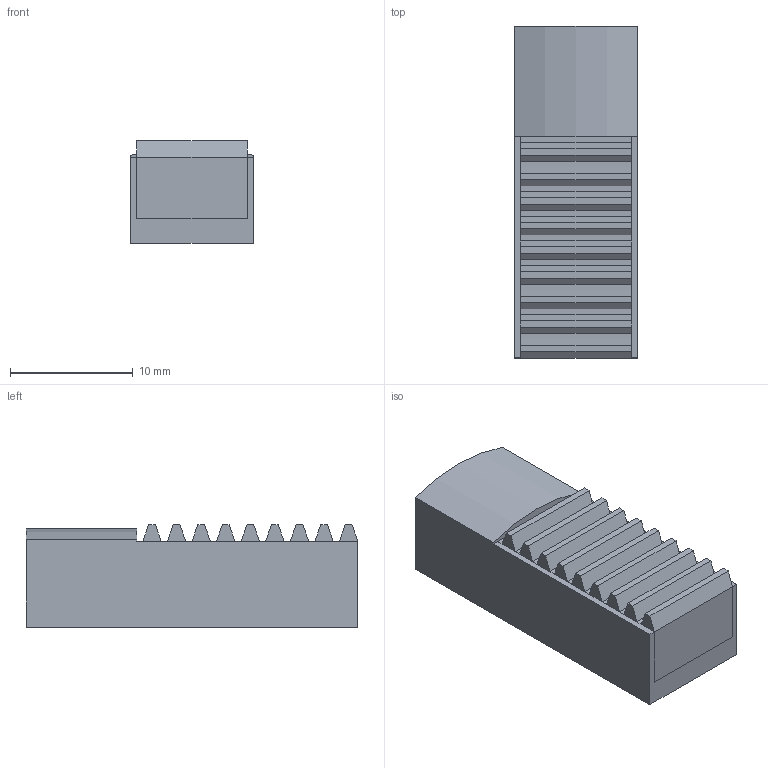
import cadquery as cq
import math

BODY_WIDTH = 10.0
BODY_LENGTH = 27.0
RACK_LENGTH = 18.0
CROWN_LENGTH = BODY_LENGTH - RACK_LENGTH
DECK_HEIGHT = 7.0
CROWN_HEIGHT = 8.0
CROWN_RADIUS = 15.0

RACK_WIDTH = 9.0
RACK_BOTTOM = 2.0
TOOTH_COUNT = 9
TOOTH_PITCH = RACK_LENGTH / TOOTH_COUNT
PRESSURE_ANGLE = math.radians(20.0)
MODULE = TOOTH_PITCH / math.pi
ADDENDUM = MODULE
DEDENDUM = 1.1 * MODULE
TOOTH_HEIGHT = ADDENDUM + DEDENDUM
TOOTH_ROOT_WIDTH = TOOTH_PITCH / 2 + 2 * DEDENDUM * math.tan(PRESSURE_ANGLE)
FLANK_RUN = TOOTH_HEIGHT * math.tan(PRESSURE_ANGLE)


def make_deck():
    """Flat-topped front section of the body."""
    return cq.Workplane("XY").box(
        BODY_WIDTH, RACK_LENGTH, DECK_HEIGHT, centered=(True, False, False)
    )


def make_crown():
    """Rear section with a cylindrical top that is highest on the centre plane."""
    half_width = BODY_WIDTH / 2
    crown_centre = CROWN_HEIGHT - CROWN_RADIUS
    edge_height = crown_centre + math.sqrt(CROWN_RADIUS**2 - half_width**2)
    return (
        cq.Workplane("XZ", origin=(0, BODY_LENGTH, 0))
        .moveTo(-half_width, 0)
        .lineTo(-half_width, edge_height)
        .threePointArc((0, CROWN_HEIGHT), (half_width, edge_height))
        .lineTo(half_width, 0)
        .close()
        .extrude(CROWN_LENGTH)
    )


def make_rack():
    """Toothed bar, extruded across the width; the first tooth starts at the front face."""
    tip_height = DECK_HEIGHT + TOOTH_HEIGHT
    outline = cq.Workplane("YZ", origin=(-RACK_WIDTH / 2, 0, 0)).moveTo(0, RACK_BOTTOM)
    for index in range(TOOTH_COUNT):
        front = index * TOOTH_PITCH
        back = front + TOOTH_ROOT_WIDTH
        outline = (
            outline.lineTo(front, DECK_HEIGHT)
            .lineTo(front + FLANK_RUN, tip_height)
            .lineTo(back - FLANK_RUN, tip_height)
            .lineTo(back, DECK_HEIGHT)
        )
    return (
        outline.lineTo(RACK_LENGTH, DECK_HEIGHT)
        .lineTo(RACK_LENGTH, RACK_BOTTOM)
        .close()
        .extrude(RACK_WIDTH)
    )


body = make_deck().union(make_crown())
result = body.union(make_rack(), clean=False)